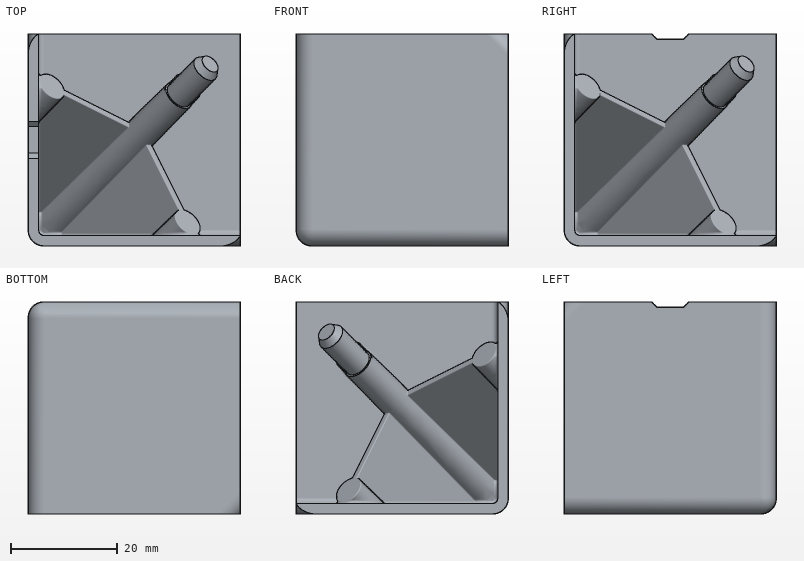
import cadquery as cq
import math

size = 40.0
wall = 2.0
outer_radius = 3.0
inner_radius = outer_radius - wall
cut_setback = 4.0

notch_width = 7.0
notch_floor_width = 5.0
notch_depth = 1.0

pin_tip_height = 59.4
pin_tip_length = 1.5
pin_tip_radius = 1.85
pin_radius = 2.7
step_height = 49.2
shaft_radius = 3.05
draft_angle = 0.7

rib_height = 37.4
rib_thickness = 1.4
post_distance = 20.9
post_radius = 2.9
edge_radius = 0.2
root_radius = 0.2
foot_radius = 0.4

margin = 0.05
foot_limit = size - cut_setback

draft_slope = math.tan(math.radians(draft_angle))
diagonal = cq.Vector(1, 1, 1)
axis = diagonal.normalized()
rib_direction = cq.Vector(-2, 1, 1)


def three_fold(feature):
    """Repeat a feature for all three walls by turning it about the body diagonal."""
    copies = feature
    for angle in (120, 240):
        copies = copies.add(feature.rotate((0, 0, 0), diagonal.toTuple(), angle))
    return copies.combine()


def corner_block(start, radius):
    """Cube with its near corner at (start, start, start), rounded on the three edges meeting there."""
    block = cq.Workplane().box(size, size, size, centered=False)
    block = block.edges("<X and <Y or <X and <Z or <Y and <Z").fillet(radius)
    return block.translate((start, start, start))


def turned(profile):
    """Solid of revolution about the diagonal from (radius, height) points."""
    plane = cq.Plane((0, 0, 0), rib_direction, rib_direction.cross(diagonal))
    return cq.Workplane(plane).polyline(profile).close().revolve(360, (0, 0), (0, 1))


def corner_rounding():
    """Waste outside a cylinder that rolls the free corner of the Y wall off to nothing."""
    tangent_point = (size - cut_setback / 2, 0, size - cut_setback / 2)
    plane = cq.Plane(tangent_point, (1, 0, 1), (1, 0, -1))
    arc_middle = (
        outer_radius * math.sin(math.pi / 4),
        outer_radius * (math.cos(math.pi / 4) - 1),
    )
    return (
        cq.Workplane(plane)
        .threePointArc(arc_middle, (outer_radius, -outer_radius))
        .lineTo(outer_radius, 0)
        .close()
        .extrude(cut_setback, both=True)
    )


def notch():
    """Trapezoid through the middle of the top edge of the X wall."""
    return (
        cq.Workplane("YZ", origin=(0, size / 2, size))
        .moveTo(-notch_width / 2, 0)
        .lineTo(-notch_floor_width / 2, -notch_depth)
        .lineTo(notch_floor_width / 2, -notch_depth)
        .lineTo(notch_width / 2, 0)
        .close()
        .extrude(wall)
    )


def pin():
    """Drafted shaft with a stepped, tapered end."""
    return turned([
        (0, 0),
        (shaft_radius + draft_slope * step_height, 0),
        (shaft_radius, step_height),
        (pin_radius, step_height),
        (pin_radius, pin_tip_height - pin_tip_length),
        (pin_tip_radius, pin_tip_height),
        (0, pin_tip_height),
    ])


def rib_and_post():
    """Rib from the pin axis to the post that stands against the X wall."""
    top = cq.Workplane(cq.Plane(axis * rib_height, -rib_direction, diagonal))
    rib = top.center(-post_distance / 2, 0).rect(post_distance, rib_thickness).extrude(-rib_height)
    post = top.center(-post_distance, 0).circle(post_radius).extrude(-rib_height, taper=-draft_angle)
    return rib.union(post).faces(cq.DirectionMinMaxSelector(diagonal)).edges().fillet(edge_radius)


def fillet_feet(part):
    """Round the inner corners around the supports, where they stand on the three walls."""
    near = wall - margin
    far = outer_radius + margin
    feet = cq.selectors.BoxSelector((near, near, near), (far, foot_limit, foot_limit), True)
    feet += cq.selectors.BoxSelector((near, near, near), (foot_limit, far, foot_limit), True)
    feet += cq.selectors.BoxSelector((near, near, near), (foot_limit, foot_limit, far), True)
    return part.edges(feet).fillet(foot_radius)


def fillet_roots(part):
    """Round the long inner corners where the flat ribs enter the drafted pin and posts."""
    steepest = math.cos(math.radians(2 * draft_angle))
    roots = [
        edge
        for edge in part.edges("%BSPLINE").vals()
        if edge.Length() > 2 * post_radius and abs(edge.tangentAt(0.5).dot(axis)) > steepest
    ]
    return part.newObject(roots).fillet(root_radius)


shell = corner_block(0, outer_radius).cut(corner_block(wall, inner_radius))
shell = shell.cut(three_fold(corner_rounding())).cut(notch())

inside = corner_block(wall / 2, inner_radius)
supports = three_fold(rib_and_post()).union(pin()).intersect(inside)

result = fillet_roots(fillet_feet(shell.union(supports)))